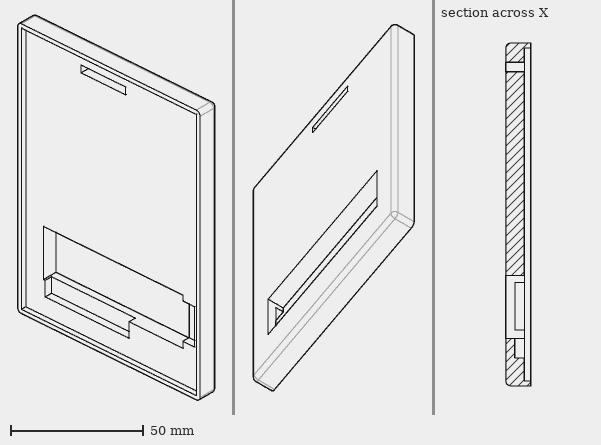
import cadquery as cq

width = 94.0
depth = 9.5
height = 130.0
edge_radius = 2.0
wall = 2.0
recess_depth = 2.5

window_left = 11.0
window_bottom = 18.1
window_width = 71.8
window_height = 23.8

pocket_depth = 3.5
side_pocket_width = 6.1
side_pocket_height = 18.1
side_pocket_bottom = 21.2
lower_pocket_left = 12.0
lower_pocket_width = 43.2
lower_pocket_height = 7.4

slot_left = 30.4
slot_width = 23.0
slot_height = 3.5
slot_top_margin = 7.4


def block(left, bottom, size_x, size_z, front, size_y):
    """Box with its lower left front corner at (left, front, bottom)."""
    return cq.Workplane("XY").box(size_x, size_y, size_z, centered=False).translate((left, front, bottom))


body = block(0, 0, width, height, 0, depth)
body = body.edges("|Y").fillet(edge_radius)
body = body.faces(">Y").edges().fillet(edge_radius)

recess = block(wall, wall, width - 2 * wall, height - 2 * wall, 0, recess_depth)

window = block(window_left, window_bottom, window_width, window_height, 0, depth)
slot_bottom = height - slot_top_margin - slot_height
slot = block(slot_left, slot_bottom, slot_width, slot_height, 0, depth)

side_pocket = block(
    window_left + window_width, side_pocket_bottom,
    side_pocket_width, side_pocket_height,
    recess_depth, pocket_depth,
)
lower_pocket = block(
    lower_pocket_left, window_bottom - lower_pocket_height,
    lower_pocket_width, lower_pocket_height,
    recess_depth, pocket_depth,
)

result = body.cut(recess).cut(window).cut(slot).cut(side_pocket).cut(lower_pocket)